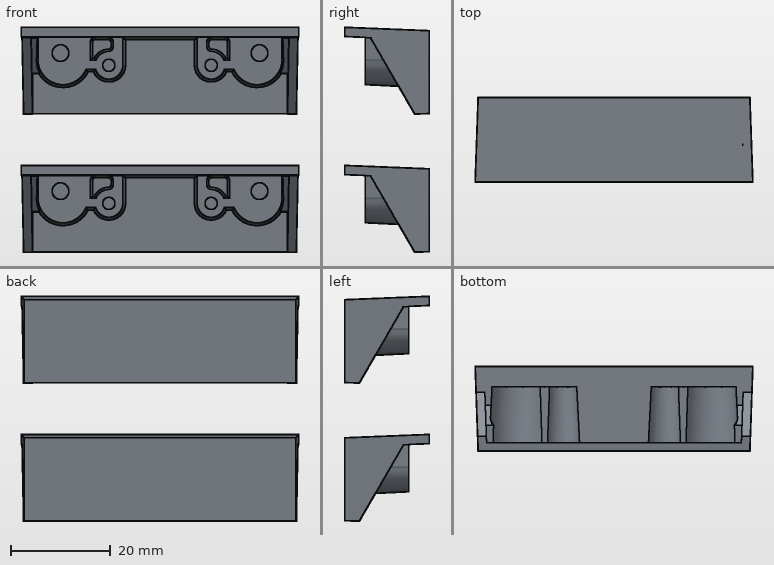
import cadquery as cq
import math

width = 55.8
depth = 17.0
height = 17.45
bracket_pitch = 27.75
bracket_count = 2

side_draft = 2.0
top_draft = 2.3
side_wall = 1.8
back_wall = 1.7
lip_thickness = 1.9
foot_depth = 2.95
slant_angle = 30.0

boss_draft = 2.9
boss_front = 12.9
boss_top_drop = 1.7
large_radius = 5.0
large_x = 19.5
large_drop = 6.55
small_radius = 2.8
small_x = 10.25
small_drop = 7.65
web_drop = 8.4

large_hole_radius = 1.7
large_hole_x = 20.0
large_hole_drop = 5.2
small_hole_radius = 1.2

pocket_depth = 8.95
pocket_outer_x = 14.0
pocket_inner_x = 9.4
pocket_tip_drop = 6.65
pocket_corner = 1.0
pocket_bend = 1.0

filler_bottom_drop = 8.8
filler_setback = 2.5

clearance = 1.1

side_slope = math.tan(math.radians(side_draft))
top_slope = math.tan(math.radians(top_draft))
slant_slope = math.tan(math.radians(slant_angle))
boss_length = boss_front - back_wall


def ceiling_drop(distance):
    """Drop of the lip's underside at a distance in front of the back face."""
    return lip_thickness + (depth - distance) * top_slope


def facing_back(distance):
    """Plane in front of the back face; local X is +X, local Y points down, extrusions go back."""
    return cq.Workplane(cq.Plane(origin=(0, -distance, 0), xDir=(1, 0, 0), normal=(0, 1, 0)))


def narrowing_block(half_width, top_drop, bottom_drop, length):
    """Block from the front edge backward, drafted on its top, sides and bottom."""
    back_half = half_width - length * side_slope
    back_top = top_drop + length * top_slope
    back_bottom = bottom_drop - length * side_slope
    front_corners = [
        (-half_width, top_drop),
        (half_width, top_drop),
        (half_width, bottom_drop),
        (-half_width, bottom_drop),
    ]
    back_corners = [
        (-back_half, back_top),
        (back_half, back_top),
        (back_half, back_bottom),
        (-back_half, back_bottom),
    ]
    front = facing_back(depth).polyline(front_corners).close()
    return front.workplane(offset=length).polyline(back_corners).close().loft(ruled=True)


def space_before_slant(setback):
    """Space under the lip and in front of the sloping side wall edges."""
    foot = foot_depth - setback
    rise = height - ceiling_drop(0)
    meeting = (foot + slant_slope * rise) / (1 - slant_slope * top_slope)
    beyond = depth + clearance
    below = height + clearance
    points = [
        (-beyond, -ceiling_drop(beyond)),
        (-meeting, -ceiling_drop(meeting)),
        (-(foot - clearance * slant_slope), -below),
        (-beyond, -below),
    ]
    return cq.Workplane("YZ").polyline(points).close().extrude(width, both=True)


def make_shell():
    """Lip, back wall and side walls, open at the front and underneath."""
    front_bottom_drop = height + (depth - foot_depth) * side_slope
    block = narrowing_block(width / 2, 0, front_bottom_drop, depth)
    open_drop = front_bottom_drop + clearance
    cavity = narrowing_block(width / 2 - side_wall, lip_thickness, open_drop, depth - back_wall)
    return block.cut(cavity).cut(space_before_slant(0))


def make_boss():
    """Left double boss: two round parts joined by a web, widening toward the back wall."""
    large_reach = math.sqrt(large_radius**2 - (web_drop - large_drop) ** 2)
    small_reach = math.sqrt(small_radius**2 - (web_drop - small_drop) ** 2)
    outline = (
        facing_back(boss_front)
        .moveTo(-large_x - large_radius, boss_top_drop)
        .lineTo(-large_x - large_radius, large_drop)
        .threePointArc((-large_x, large_drop + large_radius), (-large_x + large_reach, web_drop))
        .lineTo(-small_x - small_reach, web_drop)
        .threePointArc((-small_x, small_drop + small_radius), (-small_x + small_radius, small_drop))
        .lineTo(-small_x + small_radius, boss_top_drop)
        .close()
    )
    return outline.extrude(boss_length, taper=-boss_draft)


def make_holes():
    """Round holes from the left boss face to the back wall."""
    large = facing_back(boss_front).center(-large_hole_x, large_hole_drop).circle(large_hole_radius)
    small = facing_back(boss_front).center(-small_x, small_drop).circle(small_hole_radius)
    return large.extrude(boss_length).union(small.extrude(boss_length))


def make_pocket():
    """Drafted pocket whose curved lower edge runs concentric with the small round part of the boss."""
    top = ceiling_drop(boss_front)
    tip_x = -small_x - math.sqrt(small_radius**2 - (small_drop - pocket_tip_drop) ** 2)
    crown = small_drop - small_radius
    diagonal = small_radius * math.sqrt(0.5)
    arc_middle = (-small_x - diagonal, small_drop - diagonal)
    outline = (
        facing_back(boss_front)
        .moveTo(-pocket_outer_x, pocket_tip_drop)
        .lineTo(-pocket_outer_x, top + pocket_corner)
        .radiusArc((-pocket_outer_x + pocket_corner, top), -pocket_corner)
        .lineTo(-pocket_inner_x - pocket_bend, top)
        .radiusArc((-pocket_inner_x, top + pocket_bend), -pocket_bend)
        .lineTo(-pocket_inner_x, crown - pocket_bend)
        .radiusArc((-pocket_inner_x - pocket_bend, crown), -pocket_bend)
        .threePointArc(arc_middle, (tip_x, pocket_tip_drop))
        .close()
    )
    return outline.extrude(pocket_depth, taper=boss_draft)


def make_filler():
    """Block between the left boss and its side wall, sloping in front like the wall's edge."""
    outer_x = width / 2 - side_wall
    block = (
        facing_back(boss_front)
        .moveTo(-outer_x, boss_top_drop)
        .lineTo(-large_x, boss_top_drop)
        .lineTo(-large_x, filler_bottom_drop)
        .lineTo(-outer_x, filler_bottom_drop)
        .close()
        .extrude(boss_length, taper=-boss_draft)
    )
    return block.cut(space_before_slant(filler_setback))


def make_bracket():
    """One complete bracket, mirrored about X = 0."""
    left_side = make_boss().union(make_filler())
    left_cuts = make_holes().union(make_pocket())
    bracket = make_shell().union(left_side).union(left_side.mirror("YZ"))
    return bracket.cut(left_cuts).cut(left_cuts.mirror("YZ"))


bracket = make_bracket()
brackets = [bracket.translate((0, 0, -i * bracket_pitch)).val() for i in range(bracket_count)]

result = cq.Compound.makeCompound(brackets)